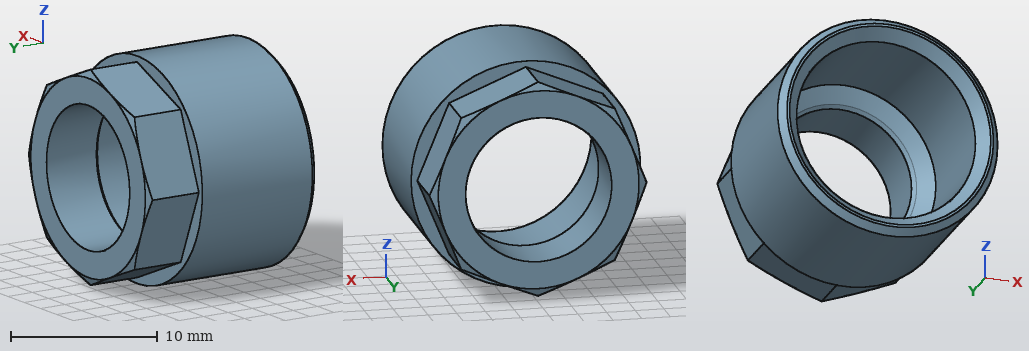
import cadquery as cq
import math

body_diameter = 16.0
total_length = 13.5
octagon_sides = 8
octagon_length = 4.0
flat_width = 14.0
outer_chamfer = 0.5
octagon_chamfer_angle = 20.0

mouth_diameter = 14.62
socket_diameter = 13.0
throat_diameter = 10.69
rear_diameter = 10.18
mouth_depth = 0.82
socket_end = 8.5
shoulder_angle = 60.0
throat_angle = 45.0

body_radius = body_diameter / 2
body_length = total_length - octagon_length
corner_radius = flat_width / 2 / math.cos(math.pi / octagon_sides)


def revolve_about_y(points):
    """Solid of revolution from (radius, distance along Y) points."""
    return cq.Workplane("XY").polyline(points).close().revolve(360, (0, 0, 0), (0, 1, 0))


def make_body():
    return revolve_about_y([
        (0, 0),
        (body_radius - outer_chamfer, 0),
        (body_radius, outer_chamfer),
        (body_radius, body_length),
        (0, body_length),
    ])


def make_octagon():
    """Octagon with corners on X and Z, its rear corners turned off by a cone."""
    corners = []
    for index in range(octagon_sides):
        angle = index * 2 * math.pi / octagon_sides
        corners.append((corner_radius * math.cos(angle), corner_radius * math.sin(angle)))
    prism = cq.Workplane("XZ").polyline(corners).close().extrude(-total_length)
    end_radius = flat_width / 2
    cone_drop = (body_radius - end_radius) * math.tan(math.radians(octagon_chamfer_angle))
    envelope = revolve_about_y([
        (0, body_length),
        (body_radius, body_length),
        (body_radius, total_length - cone_drop),
        (end_radius, total_length),
        (0, total_length),
    ])
    return prism.intersect(envelope)


def make_bore():
    """Conical mouth, straight socket, two-angle conical shoulder and straight rear hole."""
    shoulder_step = (socket_diameter - throat_diameter) / 2
    shoulder_length = shoulder_step / math.tan(math.radians(shoulder_angle))
    throat_start = socket_end + shoulder_length
    throat_step = (throat_diameter - rear_diameter) / 2
    throat_end = throat_start + throat_step / math.tan(math.radians(throat_angle))
    return revolve_about_y([
        (0, 0),
        (mouth_diameter / 2, 0),
        (socket_diameter / 2, mouth_depth),
        (socket_diameter / 2, socket_end),
        (throat_diameter / 2, throat_start),
        (rear_diameter / 2, throat_end),
        (rear_diameter / 2, total_length),
        (0, total_length),
    ])


result = make_body().union(make_octagon()).cut(make_bore())